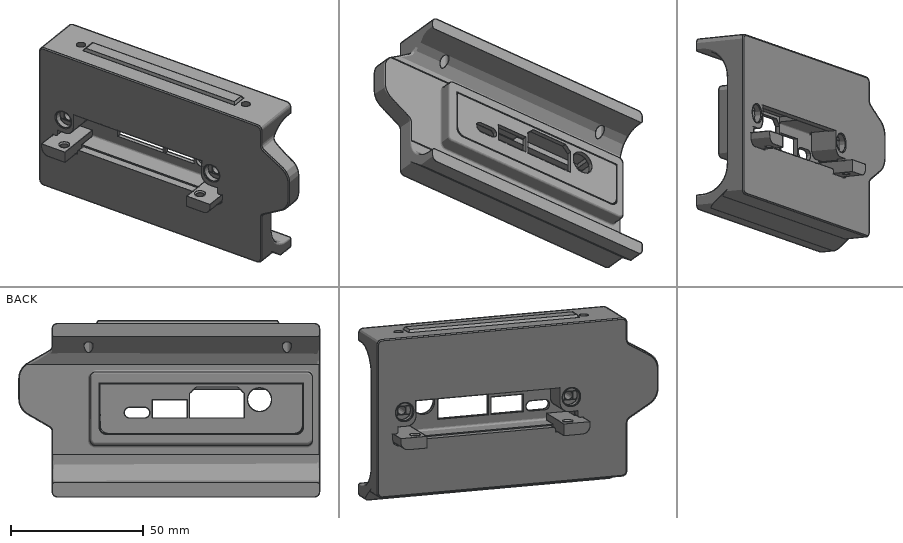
import cadquery as cq
import math

overall_length = 114.0
body_length = 101.3
body_depth = 20.2
body_top = 65.8
body_bottom = 4.1
lip_front = 14.7
lip_slope_run = 8.1
lip_slope_rise = 6.5
corner_radius = 2.0
front_chamfer = 0.5

wing_center = 41.0
wing_tip_half = 7.8
wing_slope = math.radians(30)
wing_tip_radius = 6.8
wing_root_radius = 2.3

cavity_floor = 7.3
cavity_bottom = 5.5
cavity_top = 60.8
cavity_radius = 10.6
floor_relief = 0.3
cavity_edge_fillet = 0.9

rail_start, rail_end = 15.4, 84.6
rail_center_y = 10.0
rail_width = 6.2
rail_height = 1.0
rail_slant = 0.7
top_hole_diameter = 3.4
top_hole_offset = 3.0

insert_left, insert_right = 6.5, 83.2
insert_bottom, insert_top = 24.0, 42.9
insert_corner = 3.1
insert_wall = 1.9
clearance = 0.3
plate_front = 10.8
boss_end = plate_front - clearance
tray_fillet = 0.85
tab_front = -7.9
tab_length = 10.6
tab_height = 4.6
tab_hole_inset = 3.2
tab_hole_y = -3.5
tab_hole_diameter = 3.0
tab_countersink = 4.1

frame_back = 12.5
frame_wall_x = 3.8
frame_wall_z = 4.6
frame_corner = 2.2
frame_edge_fillet = 1.0
frame_root_fillet = 0.8

front_wall = 3.2
window_left, window_right = 8.4, 81.3
window_bottom, window_top = 25.6, 40.8
slot_corner_fillet = 1.0

boss_side = 15.6
boss_bottom = 31.2
boss_radius = 3.6
screw_spacing = 67.6
screw_z = 36.8
counterbore_diameter = 6.8
counterbore_chamfer = 0.3
counterbore_depth = 2.5
screw_diameter = 3.3
bridge_step = 0.3

port_base = 30.0
round_port_x, round_port_z, round_port_diameter = 22.8, 36.9, 9.0
tall_port = (28.6, 49.2, 41.7)
tall_port_chamfer = 2.5
square_port = (50.3, 63.4, 36.8)
slot_port = (64.4, 74.0, 34.0)
notch_left, notch_right = 18.4, 49.2

insert_center_x = (insert_left + insert_right) / 2
frame_left, frame_right = insert_left - frame_wall_x, insert_right + frame_wall_x
frame_bottom, frame_top = insert_bottom - frame_wall_z, insert_top + frame_wall_z
relieved_floor = cavity_floor - floor_relief


def block(x0, x1, y0, y1, z0, z1):
    """Box between two opposite corners."""
    return cq.Workplane("XY").box(x1 - x0, y1 - y0, z1 - z0, centered=False).translate((x0, y0, z0))


def rod(x, z, diameter, y0, y1):
    """Cylinder along Y."""
    return cq.Workplane("XZ", origin=(x, y0, z)).circle(diameter / 2).extrude(y0 - y1)


def mirrored_x(shape):
    """Copy on the other side of the insert's middle plane."""
    return shape.mirror("YZ", (insert_center_x, 0, 0))


def make_wing():
    root_half = wing_tip_half + (overall_length - body_length) * math.tan(wing_slope)
    inside = body_length - wing_root_radius
    wing = (
        cq.Workplane("XZ")
        .polyline([
            (inside, wing_center - root_half),
            (body_length, wing_center - root_half),
            (overall_length, wing_center - wing_tip_half),
            (overall_length, wing_center + wing_tip_half),
            (body_length, wing_center + root_half),
            (inside, wing_center + root_half),
        ])
        .close()
        .extrude(-body_depth)
    )
    return wing.edges("|Y and >X").fillet(wing_tip_radius)


def make_shell():
    main = block(0, body_length, 0, body_depth, body_bottom, body_top).edges("|Y").fillet(corner_radius)
    shell = main.union(make_wing())
    root = cq.selectors.BoxSelector(
        (body_length - 0.1, -1.1, body_bottom + corner_radius + 1.1),
        (body_length + 0.1, body_depth + 1.1, body_top - corner_radius - 1.1),
    )
    shell = shell.edges("|Y").edges(root).fillet(wing_root_radius)
    return shell.faces("<Y").chamfer(front_chamfer)


def make_lip():
    lip = block(0, body_length, 0, body_depth, 0, body_top / 2).edges("|Y and <Z").fillet(corner_radius)
    keep = (
        cq.Workplane("YZ")
        .polyline([
            (lip_front - lip_slope_run, lip_slope_rise),
            (lip_front, 0),
            (body_depth, 0),
            (body_depth, lip_slope_rise),
        ])
        .close()
        .extrude(body_length)
    )
    return lip.intersect(keep)


def make_cavity():
    bend = cavity_floor + cavity_radius
    low, high = cavity_bottom + cavity_radius, cavity_top - cavity_radius
    diagonal = cavity_radius * math.sqrt(0.5)
    return (
        cq.Workplane("YZ")
        .moveTo(body_depth, cavity_bottom)
        .lineTo(bend, cavity_bottom)
        .threePointArc((bend - diagonal, low - diagonal), (cavity_floor, low))
        .lineTo(cavity_floor, high)
        .threePointArc((bend - diagonal, high + diagonal), (bend, cavity_top))
        .lineTo(body_depth, cavity_top)
        .close()
        .extrude(overall_length)
    )


def make_open_shell():
    """Shell and lip with the cavity cut out and its end edges rounded."""
    shell = make_shell().union(make_lip()).cut(make_cavity())
    cavity_edges = cq.selectors.BoxSelector(
        (-1.1, relieved_floor, cavity_bottom - 0.1),
        (overall_length + 1.1, body_depth - 0.1, cavity_top + 0.1),
    )
    shell = shell.edges(cavity_edges).edges("not |X").fillet(cavity_edge_fillet)
    relief = block(0, overall_length, relieved_floor, cavity_floor,
                   cavity_bottom + cavity_radius, cavity_top - cavity_radius)
    return shell.cut(relief)


def make_frame():
    frame = block(frame_left, frame_right, relieved_floor, frame_back, frame_bottom, frame_top)
    return frame.edges("|Y").fillet(frame_corner).faces(">Y").edges().fillet(frame_edge_fillet)


def make_rail():
    slant = math.degrees(math.atan(rail_slant / rail_height))
    return (
        cq.Workplane("XY", origin=((rail_start + rail_end) / 2, rail_center_y, body_top))
        .rect(rail_end - rail_start, rail_width)
        .extrude(rail_height, taper=slant)
    )


def make_top_holes():
    centers = [(rail_start - top_hole_offset, rail_center_y), (rail_end + top_hole_offset, rail_center_y)]
    return (
        cq.Workplane("XY", origin=(0, 0, body_top))
        .pushPoints(centers)
        .circle(top_hole_diameter / 2)
        .extrude(-(body_top - (cavity_top - cavity_radius)))
    )


def insert_outline(gap, y0, y1):
    """Prism with the insert's outline, rounded at the two lower corners and enlarged by gap."""
    prism = block(insert_left - gap, insert_right + gap, y0, y1, insert_bottom - gap, insert_top + gap)
    return prism.edges("|Y and <Z").fillet(insert_corner)


def make_window():
    slot = block(insert_left - clearance, insert_left + tab_length + clearance, 0, front_wall,
                 insert_bottom - clearance, insert_bottom + tab_height)
    slot = slot.edges("|Y and <X and <Z").fillet(insert_corner)
    window = block(window_left, window_right, 0, front_wall, window_bottom, window_top)
    window = window.union(slot).union(mirrored_x(slot))
    inner_corner = (insert_left + tab_length + clearance, front_wall / 2, window_bottom)
    outer_corner = (window_left, front_wall / 2, insert_bottom + tab_height)
    for x, y, z in (inner_corner, outer_corner):
        for corner_x in (x, 2 * insert_center_x - x):
            window = window.edges(cq.NearestToPointSelector((corner_x, y, z))).fillet(slot_corner_fillet)
    return window


def make_boss(gap, y0, y1):
    """Upper corner boss from the frame wall inward, enlarged by gap on its free sides."""
    boss = block(insert_left - clearance, boss_side + gap, y0, y1,
                 boss_bottom - gap, insert_top + clearance)
    return boss.edges("|Y and >X and <Z").fillet(boss_radius + gap)


def make_screw_hole():
    """Counterbore, two bridging steps and the screw hole, one behind the other."""
    x = insert_center_x - screw_spacing / 2
    half = screw_diameter / 2
    bore = rod(x, screw_z, counterbore_diameter, 0, counterbore_depth)
    rim = rod(x, screw_z, counterbore_diameter + 2 * counterbore_chamfer, 0, counterbore_chamfer)
    rim = rim.faces(">Y").chamfer(counterbore_chamfer * 0.99)
    strip = rod(x, screw_z, counterbore_diameter, 0, counterbore_depth + bridge_step).intersect(
        block(x - counterbore_diameter, x + counterbore_diameter, 0, boss_end, screw_z - half, screw_z + half))
    square = block(x - half, x + half, 0, counterbore_depth + 2 * bridge_step, screw_z - half, screw_z + half)
    return bore.union(rim).union(strip).union(square).union(rod(x, screw_z, screw_diameter, 0, boss_end))


def make_housing():
    housing = make_open_shell().union(make_frame())
    frame_root = cq.selectors.BoxSelector(
        (frame_left - 0.1, relieved_floor - 0.1, frame_bottom - 0.1),
        (frame_right + 0.1, relieved_floor + 0.1, frame_top + 0.1),
    )
    housing = housing.edges(frame_root).fillet(frame_root_fillet)
    housing = housing.union(make_rail()).cut(make_top_holes())
    housing = housing.cut(insert_outline(clearance, front_wall, frame_back)).cut(make_window())
    boss = make_boss(0, 0, boss_end)
    screw_hole = make_screw_hole()
    housing = housing.union(boss).union(mirrored_x(boss))
    return housing.cut(screw_hole).cut(mirrored_x(screw_hole))


def make_tab():
    tab = block(insert_left, insert_left + tab_length, tab_front, plate_front,
                insert_bottom, insert_bottom + tab_height)
    tab = tab.edges("|Y and <X and <Z").fillet(insert_corner)
    hole_x = insert_left + tab_length - tab_hole_inset
    return (
        tab.faces(">Z").workplane(origin=(hole_x, tab_hole_y, 0))
        .cskHole(tab_hole_diameter, tab_countersink, 90)
    )


def make_ports():
    y0, y1 = plate_front, frame_back
    tall = block(tall_port[0], tall_port[1], y0, y1, port_base, tall_port[2])
    tall = tall.edges("|Y and >Z").chamfer(tall_port_chamfer)
    square = block(square_port[0], square_port[1], y0, y1, port_base, square_port[2])
    slot = block(slot_port[0], slot_port[1], y0, y1, port_base, slot_port[2])
    slot = slot.edges("|Y").fillet((slot_port[2] - port_base) * 0.499)
    return rod(round_port_x, round_port_z, round_port_diameter, y0, y1).union(tall).union(square).union(slot)


def make_insert():
    tray_front = front_wall + clearance
    pocket = block(insert_left + insert_wall, insert_right - insert_wall, tray_front, plate_front,
                   insert_bottom + insert_wall, insert_top - insert_wall)
    pocket = pocket.faces(">Y").edges().fillet(tray_fillet)
    notch = block(notch_left, notch_right, tray_front, plate_front,
                  insert_top - insert_wall - tray_fillet, insert_top)
    insert = insert_outline(0, tray_front, frame_back).cut(pocket).cut(notch).cut(make_ports())
    boss_space = make_boss(clearance, tray_front, plate_front)
    insert = insert.cut(boss_space).cut(mirrored_x(boss_space))
    tab = make_tab()
    return insert.union(tab).union(mirrored_x(tab))


housing = make_housing()
insert = make_insert()
result = cq.Compound.makeCompound([housing.val(), insert.val()])